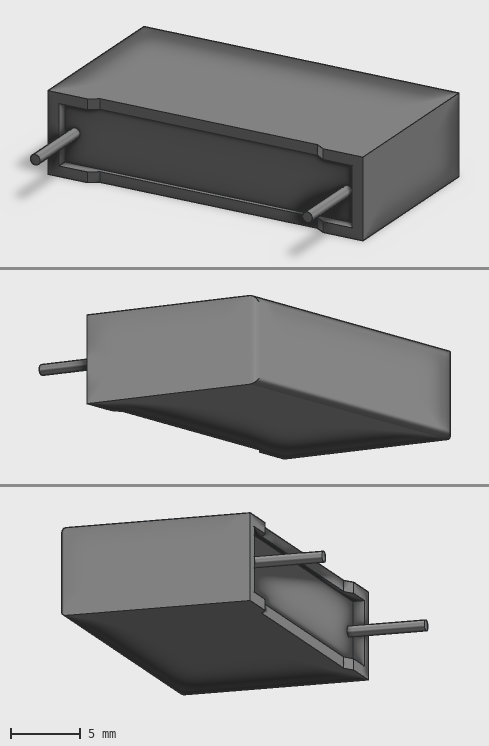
import cadquery as cq

case_width = 26.0
case_height = 6.5
overall_depth = 19.5
lead_projection = 5.0
case_depth = overall_depth - lead_projection
back_radius = 0.52

side_wall = 0.9
flat_wall = 0.83
back_wall = side_wall
cavity_width = case_width - 2 * side_wall
cavity_height = case_height - 2 * flat_wall
fill_recess = 0.88

relief_depth = 0.5
relief_outer_margin = 3.28
relief_inner_margin = 4.03

lead_diameter = 0.8
lead_spacing = 22.46

half_width = case_width / 2
lead_tip_y = -lead_projection


def box_along_y(width, height, start_y, end_y):
    """Box centred on X and Z that spans start_y to end_y."""
    return (
        cq.Workplane("XY")
        .box(width, end_y - start_y, height, centered=(True, False, True))
        .translate((0, start_y, 0))
    )


def make_rim_relief():
    """Trapezoidal cutter running through the full height of the rim."""
    outer_x = half_width - relief_outer_margin
    inner_x = half_width - relief_inner_margin
    return (
        cq.Workplane("XY")
        .polyline([
            (-outer_x, 0),
            (-inner_x, relief_depth),
            (inner_x, relief_depth),
            (outer_x, 0),
        ])
        .close()
        .extrude(case_height / 2, both=True)
    )


def make_case():
    """Open box with a rounded back and a relieved rim."""
    shell = box_along_y(case_width, case_height, 0, case_depth)
    shell = shell.faces(">Y").edges().fillet(back_radius)
    cavity = box_along_y(cavity_width, cavity_height, 0, case_depth - back_wall)
    return shell.cut(cavity).cut(make_rim_relief())


def make_filling():
    """Block filling the cavity up to a face set back from the rim."""
    return box_along_y(cavity_width, cavity_height, fill_recess, case_depth - back_wall)


def make_lead(x):
    """Round wire from the filling face to its free end."""
    return (
        cq.Workplane("XZ", origin=(x, fill_recess, 0))
        .circle(lead_diameter / 2)
        .extrude(fill_recess - lead_tip_y)
    )


case = make_case()
filling = make_filling()
leads = [make_lead(side * lead_spacing / 2) for side in (-1, 1)]

result = cq.Compound.makeCompound([
    case.val(),
    filling.val(),
    *[lead.val() for lead in leads],
])